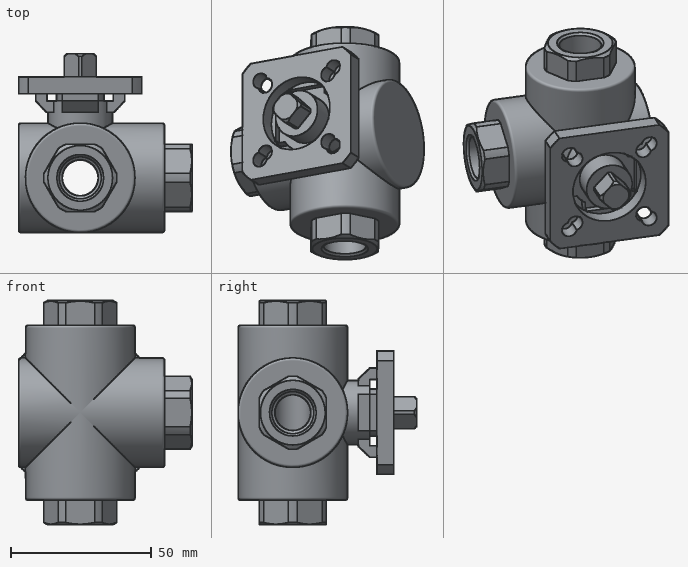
import cadquery as cq
import math

BODY_DIAMETER = 39.0
BODY_HALF_HEIGHT = 31.2
BODY_BLIND_REACH = 22.0
BODY_PORT_REACH = 30.1
BODY_EDGE_RADIUS = 1.0

PORT_REACH = 40.0
HEX_FLATS = 24.0
HEX_CORNER_DIAMETER = 26.1
HEX_FACE_DIAMETER = 23.0
HEX_CHAMFER_ANGLE = 30.0

BORE_DIAMETER = 12.7
SOCKET_DIAMETER = 15.0
SOCKET_MOUTH_DIAMETER = 16.6
SOCKET_DEPTH = 12.0
SOCKET_TIP_ANGLE = 118.0

CLIP_BOTTOM = 23.4
NECK_TOP = 27.4
PLATE_BOTTOM = 29.9
PLATE_TOP = 36.0
STEM_TOP = 44.2
NECK_DIAMETER = 23.0
SHAFT_DIAMETER = 17.0

PLATE_WIDTH = 44.0
PLATE_CORNER_DIAMETER = 57.6
PLATE_OPENING_DIAMETER = 27.0
PLATE_HOLE_DIAMETER = 5.5
HOLE_CIRCLE_DIAMETERS = (36.0, 42.0)

CLIP_WIDTH = 13.0
CLIP_OUTER = 15.9
CLIP_INNER = 11.8
CLIP_TOE = 12.1
CLIP_ROOT = 8.0

STEM_FLATS = 9.0
STEM_CORNER_DIAMETER = 11.5
STEM_CHAMFER = 1.0


def rod_y(diameter, start, end):
    """Cylinder around the Y axis between two Y positions."""
    return cq.Workplane("XZ", origin=(0, start, 0)).circle(diameter / 2).extrude(start - end)


def make_body():
    """Two equal cylinders crossing at right angles, with rounded end edges."""
    upright = (
        cq.Workplane("XY", origin=(0, 0, -BODY_HALF_HEIGHT))
        .circle(BODY_DIAMETER / 2)
        .extrude(2 * BODY_HALF_HEIGHT)
        .edges("%CIRCLE")
        .fillet(BODY_EDGE_RADIUS)
    )
    cross = (
        cq.Workplane("YZ", origin=(-BODY_BLIND_REACH, 0, 0))
        .circle(BODY_DIAMETER / 2)
        .extrude(BODY_BLIND_REACH + BODY_PORT_REACH)
        .edges("%CIRCLE")
        .fillet(BODY_EDGE_RADIUS)
    )
    return upright.union(cross)


def make_hex_end():
    """Hexagonal bar along +Z with turned corners and a conical chamfer on its face."""
    corner_radius = HEX_CORNER_DIAMETER / 2
    face_radius = HEX_FACE_DIAMETER / 2
    chamfer_height = (corner_radius - face_radius) * math.tan(math.radians(HEX_CHAMFER_ANGLE))
    hexagon = (
        cq.Workplane("XY")
        .transformed(rotate=(0, 0, 90))
        .polygon(6, HEX_FLATS, circumscribed=True)
        .extrude(PORT_REACH)
    )
    turned = (
        cq.Workplane("XZ")
        .moveTo(0, 0)
        .lineTo(corner_radius, 0)
        .lineTo(corner_radius, PORT_REACH - chamfer_height)
        .lineTo(face_radius, PORT_REACH)
        .lineTo(0, PORT_REACH)
        .close()
        .revolve(360, (0, 0, 0), (0, 1, 0))
    )
    return hexagon.intersect(turned)


def make_port_cavity():
    """Bore along +Z from the body centre, opening through a cone to a socket with a chamfered mouth."""
    bore_radius = BORE_DIAMETER / 2
    socket_radius = SOCKET_DIAMETER / 2
    mouth_radius = SOCKET_MOUTH_DIAMETER / 2
    socket_bottom = PORT_REACH - SOCKET_DEPTH
    tip_height = (socket_radius - bore_radius) / math.tan(math.radians(SOCKET_TIP_ANGLE / 2))
    return (
        cq.Workplane("XZ")
        .moveTo(0, 0)
        .lineTo(bore_radius, 0)
        .lineTo(bore_radius, socket_bottom - tip_height)
        .lineTo(socket_radius, socket_bottom)
        .lineTo(socket_radius, PORT_REACH - (mouth_radius - socket_radius))
        .lineTo(mouth_radius, PORT_REACH)
        .lineTo(0, PORT_REACH)
        .close()
        .revolve(360, (0, 0, 0), (0, 1, 0))
    )


def make_plate():
    """Square plate with turned corners, a central opening and paired overlapping corner holes."""
    thickness = PLATE_TOP - PLATE_BOTTOM
    plate = (
        cq.Workplane("XZ", origin=(0, PLATE_BOTTOM, 0))
        .rect(PLATE_WIDTH, PLATE_WIDTH)
        .extrude(-thickness)
        .intersect(rod_y(PLATE_CORNER_DIAMETER, PLATE_BOTTOM, PLATE_TOP))
        .cut(rod_y(PLATE_OPENING_DIAMETER, PLATE_BOTTOM, PLATE_TOP))
    )
    for circle_diameter in HOLE_CIRCLE_DIAMETERS:
        holes = (
            cq.Workplane("XZ", origin=(0, PLATE_BOTTOM, 0))
            .polarArray(circle_diameter / 2, 45, 360, 4)
            .circle(PLATE_HOLE_DIAMETER / 2)
            .extrude(-thickness)
        )
        plate = plate.cut(holes)
    return plate


def make_clips():
    """Four hooks under the plate, each gripping the shoulder of the neck."""
    clip = (
        cq.Workplane("XY", origin=(0, 0, -CLIP_WIDTH / 2))
        .moveTo(CLIP_ROOT, CLIP_BOTTOM)
        .lineTo(CLIP_TOE, CLIP_BOTTOM)
        .lineTo(CLIP_OUTER, NECK_TOP)
        .lineTo(CLIP_OUTER, PLATE_BOTTOM)
        .lineTo(CLIP_INNER, PLATE_BOTTOM)
        .lineTo(CLIP_INNER, NECK_TOP)
        .lineTo(CLIP_ROOT, NECK_TOP)
        .close()
        .extrude(CLIP_WIDTH)
    )
    clips = clip
    for angle in (90, 180, 270):
        clips = clips.add(clip.rotate((0, 0, 0), (0, 1, 0), angle))
    return clips.combine()


def make_stem():
    """Square stem set corner-up, with turned corners and a conical chamfer at its tip."""
    length = STEM_TOP - PLATE_TOP
    square = (
        cq.Workplane("XZ", origin=(0, PLATE_TOP, 0))
        .transformed(rotate=(0, 0, 45))
        .rect(STEM_FLATS, STEM_FLATS)
        .extrude(-length)
    )
    turned = rod_y(STEM_CORNER_DIAMETER, PLATE_TOP, STEM_TOP).faces(">Y").chamfer(STEM_CHAMFER)
    return square.intersect(turned)


def point_to_x(solid):
    """Turn a +Z port feature to +X, keeping two of the hexagon's flats facing +Y and -Y."""
    return solid.rotate((0, 0, 0), (0, 1, 0), 90)


hex_end = make_hex_end()
cavity = make_port_cavity()

result = (
    make_body()
    .union(hex_end)
    .union(hex_end.mirror("XY"))
    .union(point_to_x(hex_end))
    .union(rod_y(NECK_DIAMETER, 0, NECK_TOP))
    .union(rod_y(SHAFT_DIAMETER, 0, PLATE_TOP))
    .union(make_clips())
    .union(make_plate())
    .union(make_stem())
    .cut(cavity)
    .cut(cavity.mirror("XY"))
    .cut(point_to_x(cavity))
)